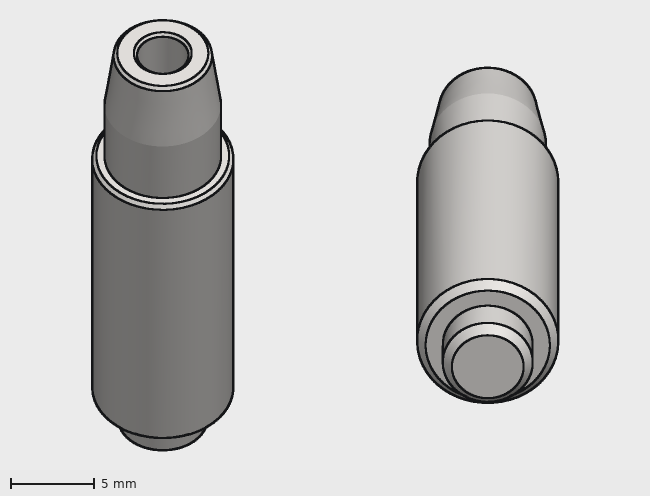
import cadquery as cq

total_length = 32.2
body_bottom = 2.7
body_top = 23.28
taper_start = 27.72

spigot_radius = 2.7
body_radius = 4.25
neck_radius = 3.5
tip_radius = 2.95

spigot_chamfer = 0.55
body_bottom_chamfer = 0.5
body_top_chamfer = 0.25
tip_chamfer = 0.23

bore_radius = 1.55
bore_depth = 9.65
bore_chamfer = 0.2

profile = [
    (0, 0),
    (spigot_radius - spigot_chamfer, 0),
    (spigot_radius, spigot_chamfer),
    (spigot_radius, body_bottom),
    (body_radius - body_bottom_chamfer, body_bottom),
    (body_radius, body_bottom + body_bottom_chamfer),
    (body_radius, body_top - body_top_chamfer),
    (body_radius - body_top_chamfer, body_top),
    (neck_radius, body_top),
    (neck_radius, taper_start),
    (tip_radius, total_length - tip_chamfer),
    (tip_radius - tip_chamfer, total_length),
    (bore_radius + bore_chamfer, total_length),
    (bore_radius, total_length - bore_chamfer),
    (bore_radius, total_length - bore_depth),
    (0, total_length - bore_depth),
]

result = cq.Workplane("XZ").polyline(profile).close().revolve(360, (0, 0, 0), (0, 1, 0))